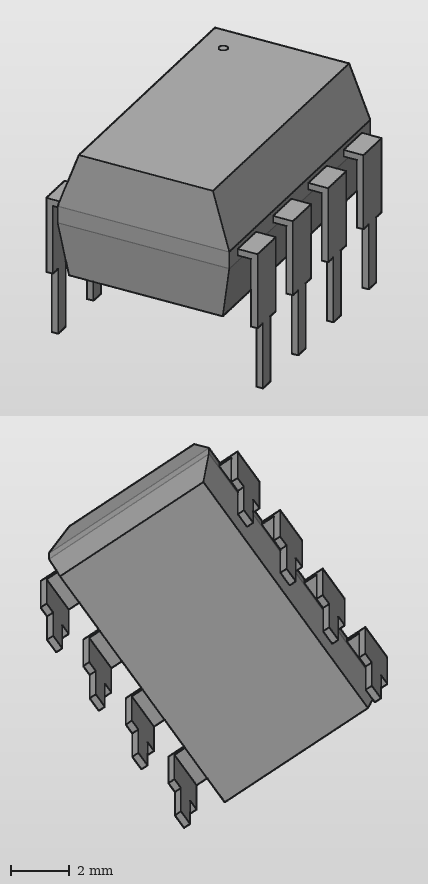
import cadquery as cq


housing_length = 10.16
housing_width = 6.6
band_height = 0.65
upper_height = 2.1
lower_height = 2.06
end_inset = 0.17
upper_side_inset = 0.72
lower_side_inset = 0.35

leads_per_side = 4
lead_pitch = 2.54
lead_span = 8.13
lead_thickness = 0.25
shoulder_height = 2.91
shoulder_width = 1.32
tail_length = 2.55
tail_width = 0.55

marker_diameter = 0.33
marker_depth = 0.1
marker_x = -1.68

band_middle_z = shoulder_height - lead_thickness / 2
band_bottom_z = band_middle_z - band_height / 2
band_top_z = band_middle_z + band_height / 2
housing_top_z = band_top_z + upper_height
first_lead_y = (leads_per_side - 1) / 2 * lead_pitch


def make_taper(base_z, height, side_inset):
    """Tapered block on the band outline; a negative height tapers downwards."""
    return (
        cq.Workplane("XY", origin=(0, 0, base_z))
        .rect(housing_width, housing_length)
        .workplane(offset=height)
        .rect(housing_width - 2 * side_inset, housing_length - 2 * end_inset)
        .loft(ruled=True, combine=True)
    )


def make_marker():
    """Flush disc in the top face of the housing."""
    return (
        cq.Workplane("XY", origin=(marker_x, first_lead_y, housing_top_z))
        .circle(marker_diameter / 2)
        .extrude(-marker_depth)
    )


def make_housing(marker):
    """Band with its upper and lower tapers, recessed for the marker."""
    band = (
        cq.Workplane("XY", origin=(0, 0, band_bottom_z))
        .rect(housing_width, housing_length)
        .extrude(band_height)
    )
    upper = make_taper(band_top_z, upper_height, upper_side_inset)
    lower = make_taper(band_bottom_z, -lower_height, lower_side_inset)
    return band.union(upper).union(lower).cut(marker)


def make_lead(side, y):
    """Bent lead on one side (-1 or +1): an arm from the band, a wide shoulder and a narrow tail."""
    outer_x = side * lead_span / 2
    inner_x = side * (lead_span / 2 - lead_thickness)
    housing_x = side * housing_width / 2
    shoulder = (
        cq.Workplane("XZ", origin=(0, y, 0))
        .moveTo(outer_x, 0)
        .lineTo(outer_x, shoulder_height)
        .lineTo(housing_x, shoulder_height)
        .lineTo(housing_x, shoulder_height - lead_thickness)
        .lineTo(inner_x, shoulder_height - lead_thickness)
        .lineTo(inner_x, 0)
        .close()
        .extrude(shoulder_width / 2, both=True)
    )
    tail = (
        cq.Workplane("XY", origin=((outer_x + inner_x) / 2, y, 0))
        .rect(lead_thickness, tail_width)
        .extrude(-tail_length)
    )
    return shoulder.union(tail)


pin_one_marker = make_marker()
housing = make_housing(pin_one_marker)

leads = []
for lead_side in (-1, 1):
    for index in range(leads_per_side):
        lead = make_lead(lead_side, first_lead_y - index * lead_pitch)
        leads.append(lead.solids().val())

result = cq.Compound.makeCompound([housing.solids().val(), pin_one_marker.val(), *leads])